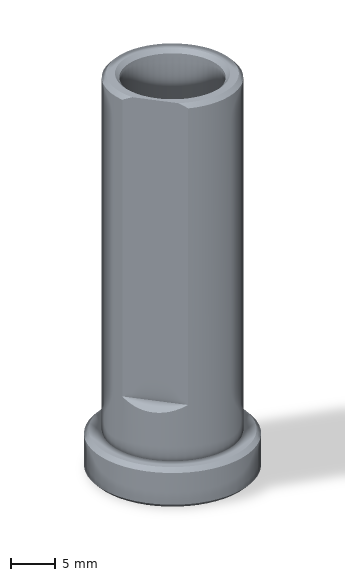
import cadquery as cq

total_length = 50.0
flange_diameter = 20.0
flange_height = 5.0
sleeve_diameter = 16.0
bore_diameter = 12.0
edge_chamfer = 0.5
flat_offset = 7.0
flat_bottom = 12.0

flange_radius = flange_diameter / 2
sleeve_radius = sleeve_diameter / 2


def make_flange():
    """Round flange with both outer rims chamfered."""
    flange = cq.Workplane("XY").circle(flange_radius).extrude(flange_height)
    return flange.edges().chamfer(edge_chamfer)


def make_sleeve():
    """Round sleeve with a chamfered top rim."""
    sleeve = cq.Workplane("XY").circle(sleeve_radius).extrude(total_length)
    return sleeve.faces(">Z").edges().chamfer(edge_chamfer)


def make_bore():
    """Through bore with a chamfered mouth at the top."""
    bore = cq.Workplane("XY").circle(bore_diameter / 2).extrude(total_length)
    mouth = (
        cq.Workplane("XY")
        .workplane(offset=total_length)
        .circle(bore_diameter / 2 + edge_chamfer)
        .extrude(-edge_chamfer, taper=45)
    )
    return bore.union(mouth)


def make_flat_cut():
    """Material outside the -Y flat, ending in a 45 degree slope at the bottom."""
    slope_run = flange_radius - flat_offset
    return (
        cq.Workplane("YZ")
        .moveTo(-flat_offset, total_length)
        .lineTo(-flat_offset, flat_bottom)
        .lineTo(-flange_radius, flat_bottom - slope_run)
        .lineTo(-flange_radius, total_length)
        .close()
        .extrude(sleeve_radius, both=True)
    )


sleeve_with_flat = make_sleeve().cut(make_flat_cut())
result = make_flange().union(sleeve_with_flat).cut(make_bore())